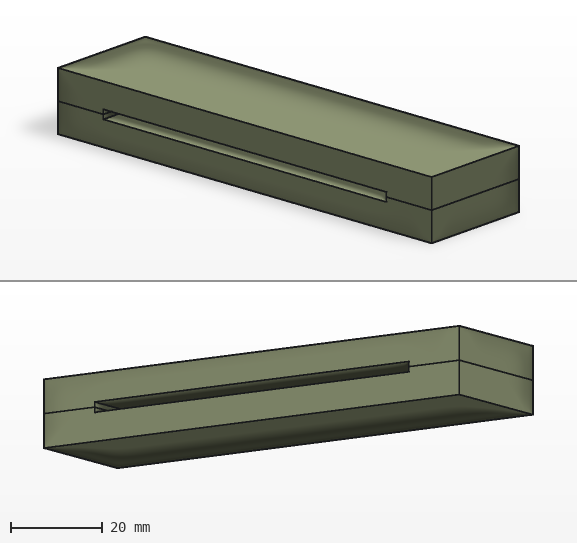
import cadquery as cq

LENGTH = 110.0
WIDTH = 28.5
HEIGHT = 15.3

SLOT_LENGTH = 83.2
SLOT_HEIGHT = 2.3

PLATE_HEIGHT = HEIGHT / 2
RECESS_DEPTH = SLOT_HEIGHT / 2


def make_lower_plate():
    """Plate below the parting plane Z = 0, with a shallow recess in its upper face."""
    plate = cq.Workplane("XY").box(LENGTH, WIDTH, PLATE_HEIGHT, centered=(True, True, False))
    plate = plate.translate((0, 0, -PLATE_HEIGHT))
    recess = cq.Workplane("XY").box(SLOT_LENGTH, WIDTH, RECESS_DEPTH, centered=(True, True, False))
    return plate.cut(recess.translate((0, 0, -RECESS_DEPTH)))


def make_upper_plate():
    """Mirror image of the lower plate, closing the slot from above."""
    return make_lower_plate().mirror("XY")


lower_plate = make_lower_plate()
upper_plate = make_upper_plate()

result = cq.Compound.makeCompound([lower_plate.val(), upper_plate.val()])